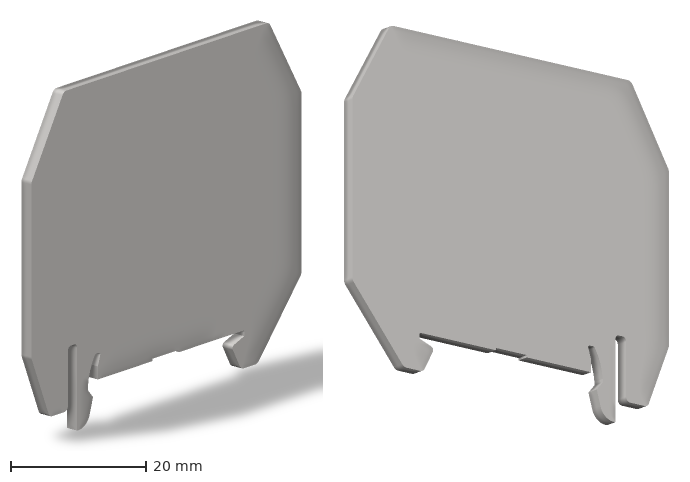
import cadquery as cq
import math

thickness = 2.0
width = 60.0
height = 53.3
lowest_z = -6.85
top_z = lowest_z + height
half_width = width / 2

shoulder_run = 7.2
shoulder_z = top_z - shoulder_run * math.tan(math.radians(60))

hook_side_z = 5.75
hook_bottom_z = -5.9
hook_outer_y = half_width - (hook_side_z - hook_bottom_z) / math.tan(math.radians(50))
hook_inner_y = 16.55
hook_tip = (14.45, -1.9)
notch_y = 17.3
notch_bottom_z = -0.9

recess_width = 5.9
recess_depth = 0.35
recess_y = -0.1
recess_left_y = recess_y + recess_width / 2
recess_right_y = recess_y - recess_width / 2

rail_end_y = -15.25
relief_bend_z = 2.05
relief_top_z = 4.1
relief_top_left_y = -14.6
relief_top_right_y = -15.85
relief_curve_middle = (-17.0, 1.75)
relief_curve_end = (-17.45, -0.6)
latch_root = (-17.45, -1.15)

latch_barb = (-16.3, -2.45)
latch_nose_start = (-17.05, -4.9)
latch_nose_middle = (-18.1, -6.4)
slot_left_y = -19.85
slot_width = 2.05
slot_right_y = slot_left_y - slot_width
slot_top_z = 6.65

foot_bottom_z = -3.3
foot_outer_y = -26.0
foot_side_z = 6.7

outer_radius = 1.0
foot_radius = 0.8
slot_radius = 0.65
hook_tip_radius = 0.55
small_radius = 0.3


def plate_blank():
    """Extrude the sharp-cornered outline, walked from the upper +Y corner down and around."""
    return (
        cq.Workplane("YZ")
        .moveTo(half_width - shoulder_run, top_z)
        .lineTo(half_width, shoulder_z)
        .lineTo(half_width, hook_side_z)
        .lineTo(hook_outer_y, hook_bottom_z)
        .lineTo(hook_inner_y, hook_bottom_z)
        .lineTo(*hook_tip)
        .lineTo(notch_y, notch_bottom_z)
        .lineTo(notch_y, 0)
        .lineTo(recess_left_y, 0)
        .lineTo(recess_left_y, recess_depth)
        .lineTo(recess_right_y, recess_depth)
        .lineTo(recess_right_y, 0)
        .lineTo(rail_end_y, 0)
        .lineTo(rail_end_y, relief_bend_z)
        .lineTo(relief_top_left_y, relief_top_z)
        .lineTo(relief_top_right_y, relief_top_z)
        .threePointArc(relief_curve_middle, relief_curve_end)
        .lineTo(*latch_root)
        .lineTo(*latch_barb)
        .lineTo(*latch_nose_start)
        .threePointArc(latch_nose_middle, (slot_left_y, lowest_z))
        .lineTo(slot_left_y, slot_top_z)
        .lineTo(slot_right_y, slot_top_z)
        .lineTo(slot_right_y, foot_bottom_z)
        .lineTo(foot_outer_y, foot_bottom_z)
        .lineTo(-half_width, foot_side_z)
        .lineTo(-half_width, shoulder_z)
        .lineTo(-half_width + shoulder_run, top_z)
        .close()
        .extrude(thickness / 2, both=True)
    )


def round_corners(plate, corners, radius):
    """Fillet the through-thickness edge nearest to each (y, z) corner."""
    for y, z in corners:
        edge = cq.selectors.NearestToPointSelector((0, y, z))
        plate = plate.edges("|X").edges(edge).fillet(radius)
    return plate


outer_corners = [
    (half_width - shoulder_run, top_z),
    (shoulder_run - half_width, top_z),
    (half_width, shoulder_z),
    (-half_width, shoulder_z),
    (half_width, hook_side_z),
    (-half_width, foot_side_z),
    (hook_outer_y, hook_bottom_z),
    (hook_inner_y, hook_bottom_z),
]
foot_corners = [(slot_right_y, foot_bottom_z), (foot_outer_y, foot_bottom_z)]
slot_corners = [(slot_left_y, slot_top_z), (slot_right_y, slot_top_z)]
small_corners = [
    (notch_y, 0),
    (relief_top_left_y, relief_top_z),
    (relief_top_right_y, relief_top_z),
]

result = plate_blank()
result = round_corners(result, outer_corners, outer_radius)
result = round_corners(result, foot_corners, foot_radius)
result = round_corners(result, slot_corners, slot_radius)
result = round_corners(result, [hook_tip], hook_tip_radius)
result = round_corners(result, small_corners, small_radius)